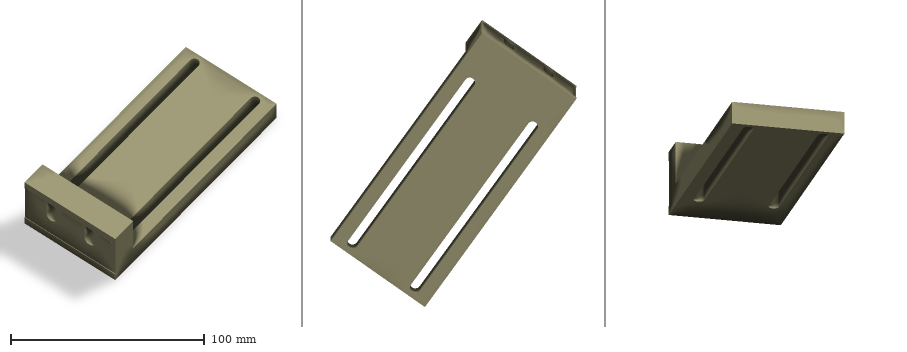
import cadquery as cq

width = 60.0
length = 135.0
height = 35.0
plate_thickness = 12.0
wall_thickness = 15.0

strip_height = 5.0
relief_depth = 0.4

plate_slot_width = 5.5
plate_slot_length = 110.0
plate_slot_spacing = 40.0
plate_slot_end_gap = 2.7

wall_slot_width = 6.3
wall_slot_height = 14.0
wall_slot_spacing = 25.0
wall_slot_top_gap = 5.0


def bracket_body():
    """L profile in the YZ plane, extruded across the width."""
    profile = [
        (0, 0),
        (length, 0),
        (length, plate_thickness),
        (wall_thickness, plate_thickness),
        (wall_thickness, height),
        (0, height),
        (0, height - strip_height),
        (relief_depth, height - strip_height),
        (relief_depth, strip_height),
        (0, strip_height),
    ]
    return cq.Workplane("YZ").polyline(profile).close().extrude(width / 2, both=True)


def plate_slots():
    """Pair of vertical cutters running along Y."""
    center_y = length - plate_slot_end_gap - plate_slot_length / 2
    half_spacing = plate_slot_spacing / 2
    return (
        cq.Workplane("XY")
        .pushPoints([(-half_spacing, center_y), (half_spacing, center_y)])
        .slot2D(plate_slot_length, plate_slot_width, 90)
        .extrude(plate_thickness)
    )


def wall_slots():
    """Pair of cutters through the wall, elongated along Z."""
    center_z = height - wall_slot_top_gap - wall_slot_height / 2
    half_spacing = wall_slot_spacing / 2
    return (
        cq.Workplane("XZ")
        .pushPoints([(-half_spacing, center_z), (half_spacing, center_z)])
        .slot2D(wall_slot_height, wall_slot_width, 90)
        .extrude(-wall_thickness)
    )


result = bracket_body().cut(plate_slots()).cut(wall_slots())